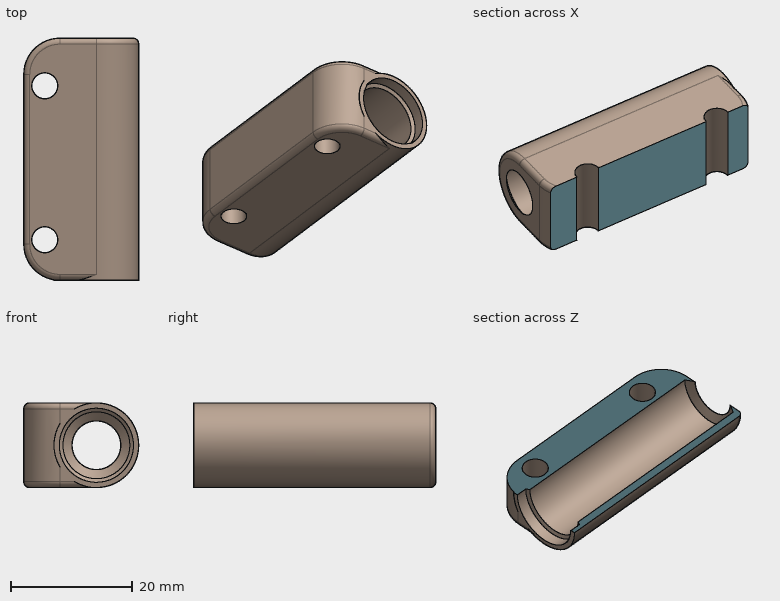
import cadquery as cq
import math

length = 40.0
width = 19.0
height = 14.0
tube_radius = height / 2
block_left = tube_radius - width
front_y = -length / 2
back_y = length / 2

corner_radius = 6.0
edge_radius = 1.0

counterbore_diameter = 12.25
counterbore_depth = 2.0
bore_diameter = 11.05
exit_diameter = 8.0
cone_half_angle = 59.0

hole_diameter = 4.25
hole_inset = 3.5
front_hole_inset = 6.7
back_hole_inset = 7.9


def along_y(y):
    """Workplane facing +Y, centred on the tube axis."""
    return cq.Workplane("XZ", origin=(0, y, 0)).transformed(rotate=(180, 0, 0))


def rounded_block():
    """Flat block with rounded left corners; its right face lies on the tube axis."""
    block = (
        cq.Workplane("XY", origin=(0, 0, -height / 2))
        .moveTo(block_left / 2, 0)
        .rect(-block_left, length)
        .extrude(height)
        .edges("|Z and <X")
        .fillet(corner_radius)
    )
    return block.faces("<Z or >Z").edges("not >X").fillet(edge_radius)


def outer_tube():
    """Round side of the part, with a sharp front rim and a rounded back rim."""
    tube = along_y(front_y).circle(tube_radius).extrude(length)
    return tube.faces(">Y").edges().fillet(edge_radius)


def stepped_bore():
    """Counterbore, main bore and narrow exit, as one solid of revolution about the tube axis."""
    counterbore_radius = counterbore_diameter / 2
    bore_radius = bore_diameter / 2
    exit_radius = exit_diameter / 2
    cone_slope = 1 / math.tan(math.radians(cone_half_angle))
    shoulder_start_y = front_y + counterbore_depth
    shoulder_end_y = shoulder_start_y + (counterbore_radius - bore_radius) * cone_slope
    exit_cone_start_y = back_y - (bore_radius - exit_radius) * cone_slope
    return (
        cq.Workplane("XY")
        .moveTo(0, front_y)
        .lineTo(counterbore_radius, front_y)
        .lineTo(counterbore_radius, shoulder_start_y)
        .lineTo(bore_radius, shoulder_end_y)
        .lineTo(bore_radius, exit_cone_start_y)
        .lineTo(exit_radius, back_y)
        .lineTo(0, back_y)
        .close()
        .revolve(360, (0, 0, 0), (0, 1, 0))
    )


def mounting_holes():
    """Vertical holes near both ends of the left side."""
    hole_x = block_left + hole_inset
    return (
        cq.Workplane("XY", origin=(0, 0, -height / 2))
        .pushPoints([(hole_x, front_y + front_hole_inset), (hole_x, back_y - back_hole_inset)])
        .circle(hole_diameter / 2)
        .extrude(height)
    )


result = rounded_block().union(outer_tube()).cut(stepped_bore()).cut(mounting_holes())